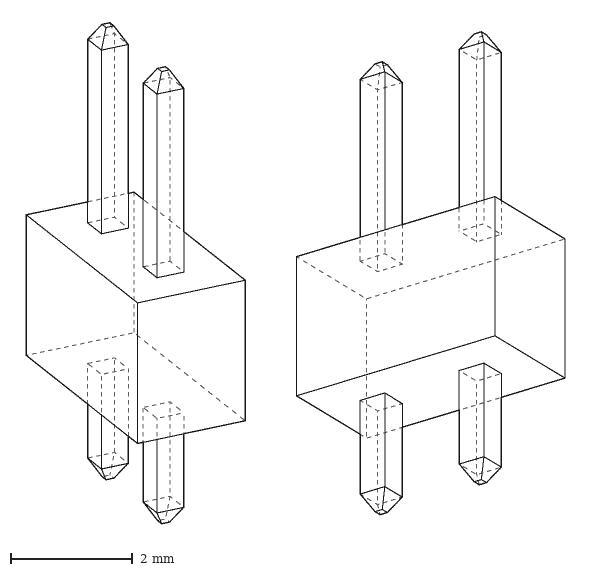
import cadquery as cq

total_height = 8.15
pin_pitch = 2.0

housing_length = 4.0
housing_width = 2.0
housing_height = 2.535

lower_pin_length = 2.005
upper_pin_length = total_height - housing_height - lower_pin_length
pin_width = 0.5
tip_length = 0.3
tip_flat_width = 0.15

pin_count = 2


def make_housing():
    """Solid block with its underside at Z = 0."""
    return cq.Workplane("XY").box(
        housing_length, housing_width, housing_height, centered=(True, True, False)
    )


def make_pin(length):
    """Square pin standing on Z = 0, tapering to a small flat at its free end."""
    shank_length = length - tip_length
    shank = cq.Workplane("XY").box(pin_width, pin_width, shank_length, centered=(True, True, False))
    tip = (
        cq.Workplane("XY", origin=(0, 0, shank_length))
        .rect(pin_width, pin_width)
        .workplane(offset=tip_length)
        .rect(tip_flat_width, tip_flat_width)
        .loft(ruled=True)
    )
    return shank.union(tip)


housing = make_housing()

upper_pins = []
lower_pins = []
for index in range(pin_count):
    pin_x = (index - (pin_count - 1) / 2) * pin_pitch
    upper_pin = make_pin(upper_pin_length).translate((pin_x, 0, housing_height))
    lower_pin = make_pin(lower_pin_length).mirror("XY").translate((pin_x, 0, 0))
    upper_pins.append(upper_pin.val())
    lower_pins.append(lower_pin.val())

result = cq.Compound.makeCompound([housing.val(), *upper_pins, *lower_pins])